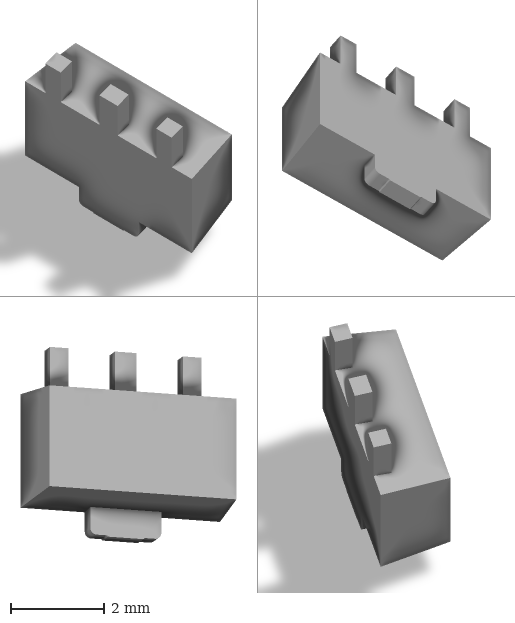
import cadquery as cq
import math

BODY_WIDTH = 4.5
BODY_HEIGHT = 2.5
BODY_DEPTH = 1.6
DRAFT_ANGLE = 5.0
BODY_TOP = BODY_HEIGHT / 2
BODY_BOTTOM = -BODY_TOP

LEAD_THICKNESS = 0.395
LEAD_PROJECTION = 0.995
LEAD_TOP = BODY_TOP + LEAD_PROJECTION

LEAD_PITCH = 1.5
OUTER_LEAD_WIDTH = 0.42
OUTER_LEAD_EMBED = 0.11

CENTRE_LEAD_WIDTH = 0.49
NECK_RADIUS = 0.125
NECK_SHELF_WIDTH = 0.8
NECK_SHELF_DROP = 0.54
TAB_WIDTH = 1.715
SHOULDER_DROP = 0.98
TAB_FOOT_WIDTH = 1.6
FOOT_START_RISE = 0.09
TAB_PROJECTION = 0.595
FOOT_CORNER_RADIUS = 0.14
LIP_WIDTH = 0.8
LIP_HEIGHT = 0.025


def make_body_block():
    """Block that tapers on all four sides toward its back face."""
    inset = BODY_DEPTH * math.tan(math.radians(DRAFT_ANGLE))
    return (
        cq.Workplane("XZ")
        .rect(BODY_WIDTH, BODY_HEIGHT)
        .workplane(offset=-BODY_DEPTH)
        .rect(BODY_WIDTH - 2 * inset, BODY_HEIGHT - 2 * inset)
        .loft(combine=True, ruled=True)
    )


def make_outer_lead(x_centre):
    """Straight lead whose lower end sits in the top edge of the body."""
    height = LEAD_PROJECTION + OUTER_LEAD_EMBED
    return (
        cq.Workplane("XZ")
        .center(x_centre, LEAD_TOP - height / 2)
        .rect(OUTER_LEAD_WIDTH, height)
        .extrude(-LEAD_THICKNESS)
    )


def make_tab():
    """Centre lead and heat tab, one flat plate symmetric about X = 0."""
    lead_x = CENTRE_LEAD_WIDTH / 2
    shelf_x = NECK_SHELF_WIDTH / 2
    tab_x = TAB_WIDTH / 2
    foot_x = TAB_FOOT_WIDTH / 2
    lip_x = LIP_WIDTH / 2
    shelf_z = BODY_TOP - NECK_SHELF_DROP
    shoulder_z = BODY_TOP - SHOULDER_DROP
    foot_start_z = BODY_BOTTOM + FOOT_START_RISE
    lip_z = BODY_BOTTOM - TAB_PROJECTION
    foot_z = lip_z + LIP_HEIGHT
    arc_inset = 1 - math.sqrt(0.5)
    neck_inset = NECK_RADIUS * arc_inset
    corner_inset = FOOT_CORNER_RADIUS * arc_inset

    half = (
        cq.Workplane("XZ")
        .moveTo(0, LEAD_TOP)
        .lineTo(lead_x, LEAD_TOP)
        .lineTo(lead_x, shelf_z + NECK_RADIUS)
        .threePointArc((lead_x + neck_inset, shelf_z + neck_inset), (lead_x + NECK_RADIUS, shelf_z))
        .lineTo(shelf_x, shelf_z)
        .lineTo(tab_x, shoulder_z)
        .lineTo(tab_x, foot_start_z + tab_x - foot_x)
        .lineTo(foot_x, foot_start_z)
        .lineTo(foot_x, foot_z + FOOT_CORNER_RADIUS)
        .threePointArc((foot_x - corner_inset, foot_z + corner_inset), (foot_x - FOOT_CORNER_RADIUS, foot_z))
        .lineTo(lip_x + LIP_HEIGHT, foot_z)
        .lineTo(lip_x, lip_z)
        .lineTo(0, lip_z)
    )
    return half.mirrorY().extrude(-LEAD_THICKNESS)


outer_leads = []
for x_centre in (-LEAD_PITCH, LEAD_PITCH):
    outer_leads.append(make_outer_lead(x_centre))

tab = make_tab()

body = make_body_block().cut(tab)
for lead in outer_leads:
    body = body.cut(lead)

result = cq.Compound.makeCompound([body.solids().val(), tab.val(), *[lead.val() for lead in outer_leads]])